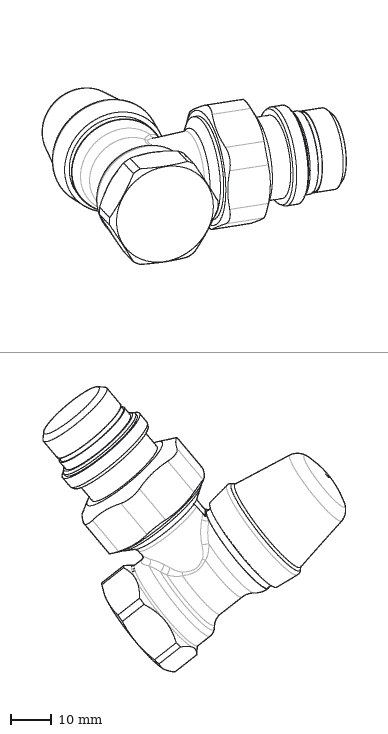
import cadquery as cq
import math


cap_tip = -38.85
dome_edge = (-37.4, 8.2)
dome_bulge = (-38.5, 4.1)
dome_round_mid = (-36.3, 9.65)
cone_start = (-34.7, 10.45)
cone_end = (-19.2, 13.2)
rim_foot = (-18.55, 13.75)
rim_round_mid = (-18.1, 14.15)
rim_top = (-17.5, 14.2)
cap_end = (-11.4, 13.5)
stem_radius = 12.25

body_start = -9.5
shoulder_start = -10.95
shoulder_radius = 12.4
waist_radius = 10.05
waist_start = -3.0
waist_end = 4.0
socket_blend_radius = 4.2
socket_round_radius = 2.3
socket_radius = 12.8

hex_start = 13.3
hex_end = 23.05
hex_flats = 26.05
hex_corner_radius = 14.5
hex_blend_radius = 0.95
hex_chamfer_end = 15.3
hex_front_chamfer = 0.75
hex_front_radius = 12.9

neck_foot_radius = 8.8
neck_top = 15.7
neck_top_radius = 9.85
neck_blend_mid = (16.2, 10.0)
neck_blend_end = (16.9, 10.4)
neck_flat = 9.15
collar_start = 18.7
collar_radius = 13.05
neck_fillet = 1.4

nut_start = 19.55
nut_end = 32.9
nut_flats = 30.1
nut_corner_round = 5.95
nut_start_radius = 14.5
nut_end_radius = 12.2

tail_end = 53.9
pipe_radius = 10.5
ring_start = 38.45
ring_end = 42.3
ring_radius = 12.5
ring_chamfer_depth = 0.4
ring_chamfer_length = 0.8
bead_radius = 11.7
bead_top = 42.8
bead_end = 43.4
bead_end_radius = 11.1
groove_start = 45.8
groove_end = 47.0
groove_radius = 10.1
tip_radius = 10.3
tip_chamfer = 1.4


def revolve_main(profile):
    """Turn a closed profile drawn in XY about the X axis."""
    return profile.close().revolve(360, (0, 0, 0), (1, 0, 0))


def turn_branch(points):
    """Turn a profile of (radius, station) points about the Y axis."""
    return cq.Workplane("XY").polyline(points).close().revolve(360, (0, 0, 0), (0, 1, 0))


def make_cap():
    """Domed, tapered cap with a rim, and the short stem that joins it to the body."""
    profile = (
        cq.Workplane("XY")
        .moveTo(cap_tip, 0)
        .threePointArc(dome_bulge, dome_edge)
        .threePointArc(dome_round_mid, cone_start)
        .lineTo(*cone_end)
        .lineTo(*rim_foot)
        .threePointArc(rim_round_mid, rim_top)
        .lineTo(*cap_end)
        .lineTo(cap_end[0], stem_radius)
        .lineTo(body_start, stem_radius)
        .lineTo(body_start, 0)
    )
    return revolve_main(profile)


def make_main_body():
    """Smooth waisted body of revolution from the stem to the hexagon."""
    shoulder_middle = ((body_start + waist_start) / 2, (shoulder_radius + waist_radius) / 2)
    reach = math.sin(math.pi / 4)
    rise = 1 - math.cos(math.pi / 4)
    slope_start = (waist_end + socket_blend_radius * reach, waist_radius + socket_blend_radius * rise)
    slope_end_radius = socket_radius - socket_round_radius * rise
    slope_end = (slope_start[0] + slope_end_radius - slope_start[1], slope_end_radius)
    socket_start = slope_end[0] + socket_round_radius * reach
    profile = (
        cq.Workplane("XY")
        .moveTo(shoulder_start, 0)
        .lineTo(shoulder_start, shoulder_radius)
        .lineTo(body_start, shoulder_radius)
        .tangentArcPoint(shoulder_middle, relative=False)
        .tangentArcPoint((waist_start, waist_radius), relative=False)
        .lineTo(waist_end, waist_radius)
        .tangentArcPoint(slope_start, relative=False)
        .lineTo(*slope_end)
        .tangentArcPoint((socket_start, socket_radius), relative=False)
        .lineTo(hex_start, socket_radius)
        .lineTo(hex_start, 0)
    )
    return revolve_main(profile)


def make_neck():
    """Tapered neck flaring out to the collar that seats the nut."""
    return (
        cq.Workplane("XY")
        .lineTo(neck_foot_radius, 0)
        .lineTo(neck_top_radius, neck_top)
        .threePointArc(neck_blend_mid[::-1], neck_blend_end[::-1])
        .lineTo(collar_radius, collar_start)
        .lineTo(collar_radius, nut_start)
        .lineTo(0, nut_start)
        .close()
        .revolve(360, (0, 0, 0), (0, 1, 0))
    )


def make_body():
    """Main body and neck, filleted along their seam, with a flat beside the cap."""
    body = make_main_body().union(make_neck())
    seam = cq.selectors.BoxSelector((shoulder_start, 0, -socket_radius), (hex_start, neck_top, socket_radius))
    seam_edges = body.edges(seam).edges("%BSPLINE")
    body = seam_edges.fillet(neck_fillet)

    trim_size = 4 * collar_radius
    shoulder_trim = cq.Workplane("XY").box(trim_size, 2 * neck_blend_end[0], trim_size)
    body = body.cut(shoulder_trim.translate((body_start - trim_size / 2, 0, 0)))

    flat_height = neck_blend_end[0] - shoulder_radius
    flat = cq.Workplane("XY").box(collar_radius, flat_height, 2 * collar_radius, centered=(True, False, True))
    return body.cut(flat.translate((-neck_flat - collar_radius / 2, shoulder_radius, 0)))


def make_end_hexagon():
    """Hexagon chamfered at both ends, with a concave blend rising from the socket."""
    blend_mid, blend_end = [
        (
            hex_start + hex_blend_radius * math.sin(angle),
            socket_radius + hex_blend_radius * (1 - math.cos(angle)),
        )
        for angle in (math.pi / 8, math.pi / 4)
    ]
    length = hex_end - hex_start
    prism = (
        cq.Workplane("YZ", origin=(hex_start, 0, 0))
        .polygon(6, hex_flats / math.cos(math.pi / 6))
        .extrude(length)
    )
    envelope = (
        cq.Workplane("XY")
        .moveTo(hex_start, 0)
        .lineTo(hex_start, socket_radius)
        .threePointArc(blend_mid, blend_end)
        .lineTo(hex_chamfer_end, hex_corner_radius)
        .lineTo(hex_end - hex_front_chamfer, hex_corner_radius)
        .lineTo(hex_end, hex_front_radius)
        .lineTo(hex_end, 0)
    )
    return prism.intersect(revolve_main(envelope))


def make_nut():
    """Union nut with rounded corners and 30 degree chamfers on both end faces."""
    across_corners = nut_flats / math.cos(math.pi / 6)
    prism = (
        cq.Workplane("XZ", origin=(0, nut_start, 0))
        .transformed(rotate=(0, 0, 90))
        .polygon(6, across_corners)
        .extrude(nut_start - nut_end)
        .edges("|Y")
        .fillet(nut_corner_round)
    )
    outer = across_corners / 2
    envelope = turn_branch([
        (0, nut_start),
        (nut_start_radius, nut_start),
        (outer, nut_start + (outer - nut_start_radius) / math.sqrt(3)),
        (outer, nut_end - (outer - nut_end_radius) / math.sqrt(3)),
        (nut_end_radius, nut_end),
        (0, nut_end),
    ])
    return prism.intersect(envelope)


def make_tailpiece():
    """Tailpiece with a sealing ring, a bead beside it, a groove and a chamfered tip."""
    return turn_branch([
        (0, nut_end),
        (pipe_radius, nut_end),
        (pipe_radius, ring_start),
        (ring_radius - ring_chamfer_depth, ring_start),
        (ring_radius, ring_start + ring_chamfer_length),
        (ring_radius, ring_end),
        (bead_radius, ring_end),
        (bead_radius, bead_top),
        (bead_end_radius, bead_end),
        (pipe_radius, bead_end),
        (pipe_radius, groove_start),
        (groove_radius, groove_start),
        (groove_radius, groove_end),
        (tip_radius, groove_end),
        (tip_radius, tail_end - tip_chamfer),
        (tip_radius - tip_chamfer, tail_end),
        (0, tail_end),
    ])


result = make_body()
for piece in (make_cap(), make_end_hexagon(), make_nut(), make_tailpiece()):
    result = result.union(piece)